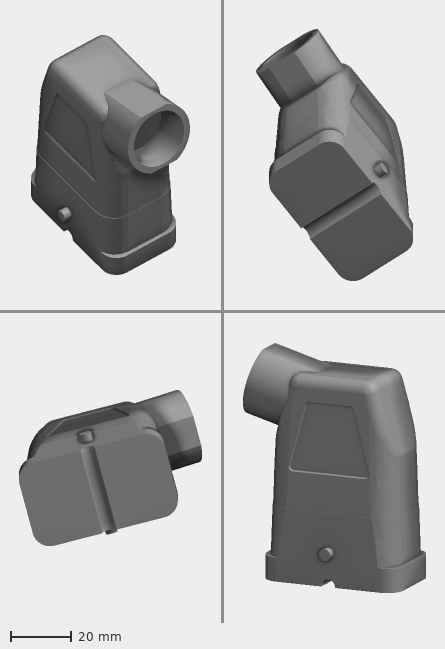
import cadquery as cq
import math

flange_length = 49.7
flange_width = 29.15
flange_height = 8.3
flange_corner = 5.9
notch_diameter = 5.0
notch_center_z = 0.2

pin_diameter = 4.0
pin_span = 35.0
pin_z = 11.6

seam_z = 25.25
lower_bottom_length = 47.0
lower_top_length = 45.75
lower_bottom_width = 30.1
lower_bottom_corner = 8.1
body_corner = 7.65

top_z = 70.9
seam_step = 0.15
upper_bottom_length = lower_top_length - seam_step
upper_bottom_width = flange_width - 2 * seam_step
length_draft = 1.4
width_draft = 1.9

shoulder_z = 45.45
shoulder_half_length = upper_bottom_length / 2 - (shoulder_z - seam_z) * math.tan(math.radians(length_draft))
end_wall_lean = 15.3
crown_round = 4.05
crown_faces_low_z = 53.55

recess_bottom_z = 38.25
recess_top_z = 62.4
recess_bottom_length = 30.15
recess_top_length = 17.3
recess_corner = 1.5
recess_depth = 0.45
recess_wall_taper = 45.0

spout_tilt = 15.0
spout_end_x = 31.1
spout_end_z = 65.4
spout_diameter = 25.2
spout_height = 22.95
spout_buried_length = 24.5
bore_diameter = 20.4
bore_depth = 13.3


def drafted_block(z_low, size_low, corner_low, z_high, size_high, corner_high):
    """Block tapering between two rectangles with rounded corners."""
    low = cq.Sketch().rect(*size_low).vertices().fillet(corner_low)
    high = cq.Sketch().rect(*size_high).vertices().fillet(corner_high)
    return (
        cq.Workplane("XY", origin=(0, 0, z_low))
        .placeSketch(low, high.moved(cq.Location(cq.Vector(0, 0, z_high - z_low))))
        .loft(ruled=True)
    )


def upper_half_width(z):
    """Half width of the upper housing at height z."""
    return upper_bottom_width / 2 - (z - seam_z) * math.tan(math.radians(width_draft))


def make_flange():
    return (
        cq.Workplane("XY")
        .rect(flange_length, flange_width)
        .extrude(flange_height)
        .edges("|Z")
        .fillet(flange_corner)
    )


def make_lower_housing():
    block = drafted_block(
        flange_height, (lower_bottom_length, lower_bottom_width), lower_bottom_corner,
        seam_z, (lower_top_length, flange_width), body_corner,
    )
    trim = cq.Workplane("XY").box(flange_length, flange_width, seam_z, centered=(True, True, False))
    return block.intersect(trim)


def make_upper_housing():
    rise = top_z - seam_z
    top_length = upper_bottom_length - 2 * rise * math.tan(math.radians(length_draft))
    top_width = 2 * upper_half_width(top_z)
    body = drafted_block(
        seam_z, (upper_bottom_length, upper_bottom_width), body_corner,
        top_z, (top_length, top_width), body_corner,
    )
    lean = math.tan(math.radians(end_wall_lean))
    crown_bottom_x = shoulder_half_length + (shoulder_z - seam_z) * lean
    crown_top_x = shoulder_half_length - (top_z - shoulder_z) * lean
    crown = (
        cq.Workplane("XZ")
        .polyline([
            (-crown_bottom_x, seam_z),
            (crown_bottom_x, seam_z),
            (crown_top_x, top_z),
            (-crown_top_x, top_z),
        ])
        .close()
        .extrude(flange_width / 2, both=True)
    )
    crown_faces = cq.selectors.BoxSelector(
        (-flange_length, -flange_width, crown_faces_low_z),
        (flange_length, flange_width, top_z + crown_round),
    )
    return body.intersect(crown).faces(crown_faces).edges().fillet(crown_round)


def make_label_recess(side):
    """Cutter for the recess on the long side facing side * Y, parallel to the drafted wall."""
    draft = math.radians(width_draft)
    plane = cq.Plane(
        origin=(0, side * upper_half_width(recess_bottom_z), recess_bottom_z),
        xDir=(-side, 0, 0),
        normal=(0, side * math.cos(draft), math.sin(draft)),
    )
    height = (recess_top_z - recess_bottom_z) / math.cos(draft)
    outline = (
        cq.Sketch()
        .polygon([
            (-recess_bottom_length / 2, 0),
            (recess_bottom_length / 2, 0),
            (recess_top_length / 2, height),
            (-recess_top_length / 2, height),
            (-recess_bottom_length / 2, 0),
        ])
        .vertices()
        .fillet(recess_corner)
    )
    return cq.Workplane(plane).placeSketch(outline).extrude(-recess_depth, taper=recess_wall_taper)


def make_spout_plane():
    """Plane on the spout's open end, its normal pointing into the housing."""
    tilt = math.radians(spout_tilt)
    return cq.Plane(
        origin=(spout_end_x, 0, spout_end_z),
        xDir=(0, 1, 0),
        normal=(-math.cos(tilt), 0, -math.sin(tilt)),
    )


def make_spout():
    tube = cq.Workplane(make_spout_plane()).circle(spout_diameter / 2).extrude(spout_buried_length)
    flats = (
        cq.Workplane(make_spout_plane())
        .rect(spout_diameter, spout_height)
        .extrude(spout_buried_length)
    )
    return tube.intersect(flats)


def make_bore():
    return cq.Workplane(make_spout_plane()).circle(bore_diameter / 2).extrude(bore_depth)


def make_pins():
    """One rod through the housing forms both locking pins."""
    return (
        cq.Workplane("XZ", origin=(0, pin_span / 2, pin_z))
        .circle(pin_diameter / 2)
        .extrude(pin_span)
    )


def make_notch():
    """Cutter for the round notch that runs across the underside."""
    return (
        cq.Workplane("XZ", origin=(0, flange_width / 2, notch_center_z))
        .circle(notch_diameter / 2)
        .extrude(flange_width)
    )


upper_housing = make_upper_housing()
for side in (-1, 1):
    upper_housing = upper_housing.cut(make_label_recess(side))

result = (
    make_flange()
    .union(make_lower_housing())
    .union(upper_housing)
    .union(make_spout())
    .union(make_pins())
    .cut(make_bore())
    .cut(make_notch())
)